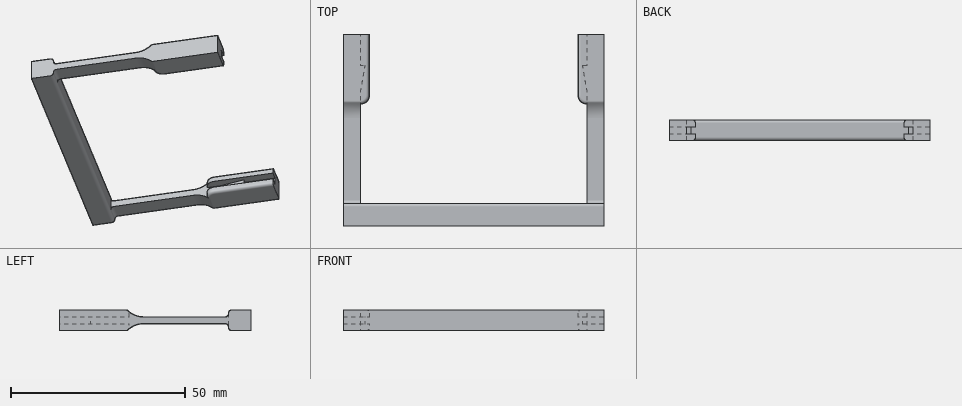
import cadquery as cq
import math

width = 74.8
depth = 55.0
height = 6.0

bar_depth = 6.5
bar_edge_radius = 1.0

arm_width = 4.9
arm_thickness = 2.0
root_radius = 0.9

pad_width = 7.5
pad_length = 20.0
pad_edge_radius = 0.9
pad_corner_radius = pad_width - arm_width
join_height = 2.8
flare_length = 24.1

slot_height = 2.0
slot_depth = pad_width - arm_width

tooth_height = 1.3
tooth_length = 7.25
tooth_offset = 8.9

half_width = width / 2
half_height = height / 2
half_arm = arm_thickness / 2
pad_front = depth - pad_length
flare_end = depth - flare_length


def make_bar():
    """Full-width bar with rounded upper and lower rear edges."""
    return (
        cq.Workplane("XY")
        .box(width, bar_depth, height, centered=(True, False, True))
        .edges("|X and >Y").fillet(bar_edge_radius)
    )


def make_arm():
    """Right arm: concave fillets at the bar, concave flares meeting the pad's rounded edge."""
    rise = join_height - half_arm
    edge_center_y = pad_front + pad_edge_radius
    edge_center_z = half_height - pad_edge_radius
    join_y = edge_center_y - math.sqrt(pad_edge_radius**2 - (join_height - edge_center_z) ** 2)
    run = join_y - flare_end
    flare_radius = (run**2 + rise**2) / (2 * rise)
    half_angle = math.atan2(rise, run)
    middle_y = flare_end + flare_radius * math.sin(half_angle)
    middle_z = half_arm + flare_radius * (1 - math.cos(half_angle))

    root_end = bar_depth + root_radius
    root_top = half_arm + root_radius
    root_offset = root_radius * (1 - math.sqrt(0.5))
    root_y = bar_depth + root_offset
    root_z = half_arm + root_offset
    return (
        cq.Workplane("YZ", origin=(half_width - arm_width, 0, 0))
        .moveTo(bar_depth, root_top)
        .threePointArc((root_y, root_z), (root_end, half_arm))
        .lineTo(flare_end, half_arm)
        .threePointArc((middle_y, middle_z), (join_y, join_height))
        .lineTo(depth, join_height)
        .lineTo(depth, -join_height)
        .lineTo(join_y, -join_height)
        .threePointArc((middle_y, -middle_z), (flare_end, -half_arm))
        .lineTo(root_end, -half_arm)
        .threePointArc((root_y, -root_z), (bar_depth, -root_top))
        .close()
        .extrude(arm_width)
    )


def inner_box(length, box_depth, box_height):
    """Box at the rear end, reaching outward from the inner side of the right pad."""
    return (
        cq.Workplane("XY", origin=(half_width - pad_width, depth - length, 0))
        .box(box_depth, length, box_height, centered=(False, False, True))
    )


def make_pad():
    """Right pad with a rounded inner corner and rounded inner and front edges."""
    pad = inner_box(pad_length, pad_width, height)
    pad = pad.edges("|Z and <X and <Y").fillet(pad_corner_radius)
    return pad.faces(">Z or <Z").edges("not (>X or >Y)").fillet(pad_edge_radius)


def make_slot():
    """Slot level with the arm's inner side, leaving a tooth that ramps up toward the rear."""
    wall_x = half_width - arm_width
    tooth_rear = depth - tooth_offset
    tooth = (
        cq.Workplane("XY")
        .polyline([
            (wall_x, tooth_rear - tooth_length),
            (wall_x - tooth_height, tooth_rear),
            (wall_x, tooth_rear),
        ])
        .close()
        .extrude(slot_height / 2, both=True)
    )
    return inner_box(pad_length, slot_depth, slot_height).cut(tooth)


right_side = make_pad().union(make_arm()).cut(make_slot())
result = make_bar().union(right_side).union(right_side.mirror("YZ"))